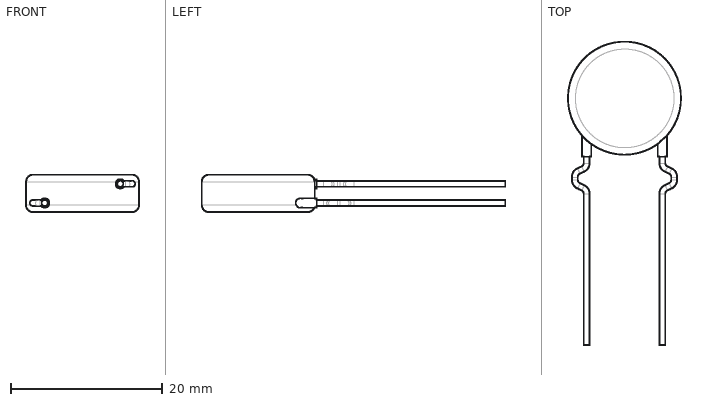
import cadquery as cq
import math

case_diameter = 15.0
case_thickness = 5.0
case_edge_radius = 0.95
case_radius = case_diameter / 2

total_length = 40.2
lead_spacing_x = 10.0
lead_spacing_z = 2.55
lead_diameter = 0.8
lead_tip_y = case_radius - total_length

collar_diameter = 1.25
collar_overhang = 0.25
collar_end_y = -case_radius - collar_overhang
collar_start_y = -case_radius / 2

kink_offset = 1.55
kink_bend_radius = 0.9
kink_angle = math.radians(65)
kink_start_gap = 0.85
kink_crest_length = 0.35

lead_root_y = -math.sqrt(case_radius**2 - (lead_spacing_x / 2) ** 2)


def round_bar(diameter, side, start_y, end_y):
    """Straight bar parallel to Y on the lead axis of the given side (-1 or +1)."""
    return (
        cq.Workplane("XZ", origin=(side * lead_spacing_x / 2, start_y, side * lead_spacing_z / 2))
        .circle(diameter / 2)
        .extrude(start_y - end_y)
    )


def make_case():
    case = (
        cq.Workplane("XY", origin=(0, 0, -case_thickness / 2))
        .circle(case_radius)
        .extrude(case_thickness)
        .faces("|Z")
        .edges()
        .fillet(case_edge_radius)
    )
    for side in (-1, 1):
        case = case.union(round_bar(collar_diameter, side, collar_start_y, collar_end_y))
        case = case.cut(round_bar(lead_diameter, side, lead_root_y, collar_end_y))
    return case


def make_lead(side):
    """Round wire: straight root, outward kink with four equal bends, straight tail."""
    bend_sideways = kink_bend_radius * (1 - math.cos(kink_angle))
    bend_forward = kink_bend_radius * math.sin(kink_angle)
    mid_sideways = kink_bend_radius * (1 - math.cos(kink_angle / 2))
    mid_forward = kink_bend_radius * math.sin(kink_angle / 2)
    ramp_sideways = kink_offset - 2 * bend_sideways
    ramp_forward = ramp_sideways / math.tan(kink_angle)

    kink_start_y = collar_end_y - kink_start_gap
    crest_start_y = kink_start_y - 2 * bend_forward - ramp_forward
    crest_end_y = crest_start_y - kink_crest_length
    kink_end_y = crest_end_y - 2 * bend_forward - ramp_forward

    def point(sideways, y):
        return (side * (lead_spacing_x / 2 + sideways), y)

    path = (
        cq.Workplane("XY", origin=(0, 0, side * lead_spacing_z / 2))
        .moveTo(*point(0, lead_root_y))
        .lineTo(*point(0, kink_start_y))
        .threePointArc(
            point(mid_sideways, kink_start_y - mid_forward),
            point(bend_sideways, kink_start_y - bend_forward),
        )
        .lineTo(*point(kink_offset - bend_sideways, crest_start_y + bend_forward))
        .threePointArc(
            point(kink_offset - mid_sideways, crest_start_y + mid_forward),
            point(kink_offset, crest_start_y),
        )
        .lineTo(*point(kink_offset, crest_end_y))
        .threePointArc(
            point(kink_offset - mid_sideways, crest_end_y - mid_forward),
            point(kink_offset - bend_sideways, crest_end_y - bend_forward),
        )
        .lineTo(*point(bend_sideways, kink_end_y + bend_forward))
        .threePointArc(
            point(mid_sideways, kink_end_y + mid_forward),
            point(0, kink_end_y),
        )
        .lineTo(*point(0, lead_tip_y))
    )
    return (
        cq.Workplane("XZ", origin=(side * lead_spacing_x / 2, lead_root_y, side * lead_spacing_z / 2))
        .circle(lead_diameter / 2)
        .sweep(path)
    )


case = make_case()
leads = [make_lead(side) for side in (-1, 1)]

result = cq.Compound.makeCompound([case.val(), *[lead.val() for lead in leads]])